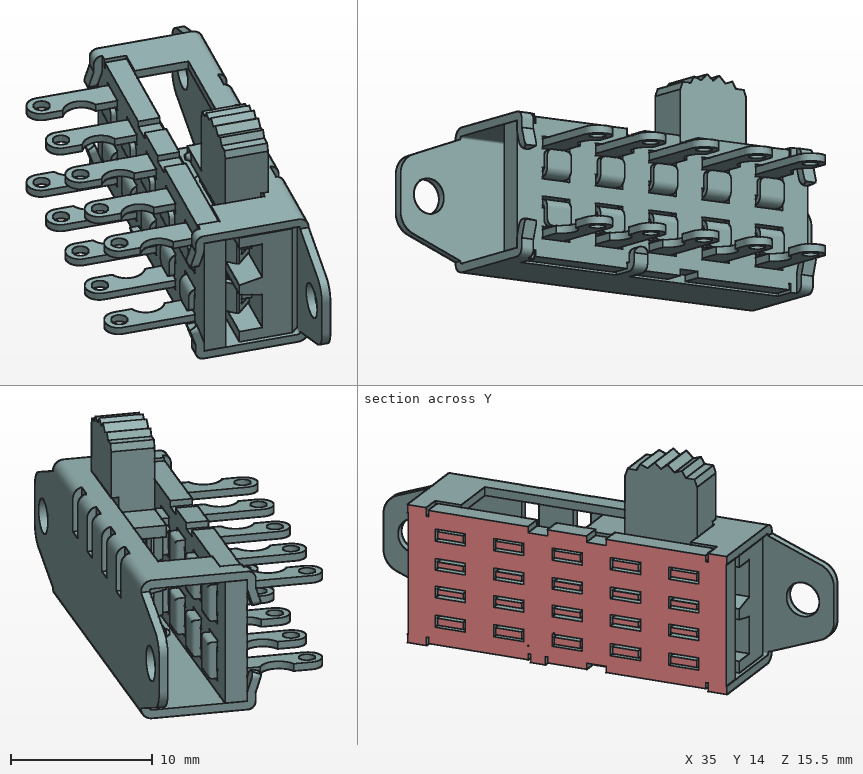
import cadquery as cq
import math


frame_length = 24.8
frame_height = 10.42
sheet = 0.64
bend_radius = 0.8
frame_depth = 7.73
half_length = frame_length / 2
half_height = frame_height / 2
inner_half_height = half_height - sheet

ear_span = 34.98
ear_root_half_height = 4.37
ear_corner_half_height = 2.45
ear_corner_radius = 1.6
mount_hole_diameter = 2.54
mount_hole_x = 15.08

window_half_length = 8.9
window_back_y = -2.15
base_notch_half_length = 10.92
plate_slot_inner_x = 2.05
plate_slot_outer_x = 6.08
plate_slot_width = 1.35
plate_slot_floor_z = 1.9

claw_width = 1.0
claw_thickness = 0.62
claw_bend_radius = 0.6
claw_flare_z = 3.87
claw_tip_z = 2.49
claw_flare = 0.45
claw_rounding = 0.45
short_claw_width = 1.15
short_claw_tip_z = 3.5

base_half_length = half_length - 0.03
base_back_y = -6.12
rib_half_length = 10.77
rib_half_height = 5.03
rib_gap_center = 2.27
rib_gap_width = 1.49

terminal_pitch = 4.53
terminal_columns = 5
terminal_width = 2.04
terminal_tip_y = -14.03
terminal_bottom_z = 2.98
terminal_top_z = 3.54
lug_hole_diameter = 1.17
lug_hole_y = -12.95
lug_notch_radius = 1.33
lug_notch_depth = 0.78
lug_notch_y = -10.5
pad_back_y = -5.5
pad_round = 0.24
tongue_thickness = 0.42
tongue_bend_radius = 0.65
tongue_bottom_z = 0.8
tongue_top_z = 2.75
tongue_corner_radius = 0.45
slot_width = 2.3
lug_slot_z = (2.8, 3.68)
tongue_slot_z = (0.62, 1.46)

slider_center_x = 6.12
slider_length = 12.16
slider_center_z = -0.05
slider_half_height = 4.42
slider_front_y = -5.07
slider_recess_y = -3.38
slider_chamfer = 0.52
slider_leg_inner = 3.54
divider_root = 0.75
divider_tip = 0.4
detent_x = 0.65
detent_z = 3.92
detent_radius = 0.35
detent_height = 0.35

knob_half_length = 2.8
knob_back_y = -1.9
knob_bottom_z = 5.52
knob_side_top_z = 9.0
stem_back_y = -2.44
knob_steps = [
    (2.6, 9.55),
    (1.93, 9.55),
    (1.62, 10.04),
    (1.05, 9.83),
    (0.51, 10.33),
]
knob_middle_z = 9.93

contact_row_z = 2.1
contact_height = 2.43
contact_thickness = 0.45
contact_half_length = 4.15
contact_elbow_y = (-4.65, -4.47)
contact_flat_half_length = 3.45
contact_root_half_length = 3.0
contact_hole_height = 1.35
contact_hole_y = (-4.2, -3.6)
tab_height = 0.95
tab_half_length = 3.6
tab_tip_y = -4.28
tab_chamfer = 0.2


def box(x_range, y_range, z_range):
    """Axis-aligned box between pairs of limits."""
    size = [high - low for low, high in (x_range, y_range, z_range)]
    corner = (x_range[0], y_range[0], z_range[0])
    return cq.Workplane("XY").box(*size, centered=False).translate(corner)


def yz_prism(points, x_range):
    """Prism of a Y-Z outline between two X limits."""
    prism = cq.Workplane("YZ").polyline(points).close().extrude(x_range[1] - x_range[0])
    return prism.translate((x_range[0], 0, 0))


def xz_prism(points, y_range):
    """Prism of an X-Z outline between two Y limits."""
    prism = cq.Workplane("XZ").polyline(points).close().extrude(y_range[1] - y_range[0])
    return prism.translate((0, y_range[1], 0))


def flip_z(body):
    return body.mirror("XY")


def make_channel():
    """C-shaped sheet channel, open at both ends and towards -Y."""
    outer = box((-half_length, half_length), (-frame_depth, 0), (-half_height, half_height))
    outer = outer.edges("|X and >Y").fillet(bend_radius)
    inside = box(
        (-half_length, half_length),
        (-frame_depth, -sheet),
        (-inner_half_height, inner_half_height),
    )
    return outer.cut(inside.edges("|X and >Y").fillet(bend_radius - sheet))


def make_ears():
    """Tapered mounting ears on both ends of the back plate."""
    half_span = ear_span / 2
    right_side = [
        (half_length, ear_root_half_height),
        (half_span, ear_corner_half_height),
        (half_span, -ear_corner_half_height),
        (half_length, -ear_root_half_height),
    ]
    left_side = [(-x, -z) for x, z in right_side]
    ears = xz_prism(right_side + left_side, (-sheet, 0))
    ears = ears.edges("|Y and (<X or >X)").fillet(ear_corner_radius)
    holes = (
        cq.Workplane("XZ")
        .pushPoints([(-mount_hole_x, 0), (mount_hole_x, 0)])
        .circle(mount_hole_diameter / 2)
        .extrude(sheet)
    )
    return ears.cut(holes)


def make_claw(center_x, width, tip_z):
    """Claw bent over the top edge of the base, flared at its rounded tip."""
    outer_y = -frame_depth - claw_thickness
    flare_angle = math.atan2(claw_flare, claw_flare_z - claw_tip_z)
    tip_dy = claw_thickness * math.cos(flare_angle)
    tip_dz = claw_thickness * math.sin(flare_angle)
    x_range = (center_x - width / 2, center_x + width / 2)
    claw = yz_prism(
        [
            (-frame_depth, half_height),
            (-frame_depth, claw_flare_z),
            (-frame_depth - claw_flare, claw_tip_z),
            (-frame_depth - claw_flare - tip_dy, claw_tip_z + tip_dz),
            (outer_y, claw_flare_z + claw_thickness * math.tan(flare_angle / 2)),
            (outer_y, half_height),
        ],
        x_range,
    )
    claw = claw.edges("|X and >Z").edges("<Y").fillet(claw_bend_radius)
    outline = box(x_range, (-2 * frame_depth, 0), (tip_z, half_height))
    outline = outline.edges("|Y and <Z").fillet(claw_rounding * width)
    return claw.intersect(outline)


def make_frame():
    frame = make_channel().union(make_ears())
    window = box(
        (-window_half_length, window_half_length),
        (-frame_depth, window_back_y),
        (inner_half_height, half_height),
    )
    base_notch = box(
        (-base_notch_half_length, base_notch_half_length),
        (-frame_depth, base_back_y),
        (-half_height, half_height),
    )
    frame = frame.cut(window).cut(base_notch)
    for slot_x in (-plate_slot_outer_x, -plate_slot_inner_x, plate_slot_inner_x, plate_slot_outer_x):
        slot = box(
            (slot_x - plate_slot_width / 2, slot_x + plate_slot_width / 2),
            (-sheet, 0),
            (plate_slot_floor_z, half_height),
        )
        frame = frame.cut(slot)
    claw_x = half_length - claw_width / 2
    for center_x in (-claw_x, claw_x):
        claw = make_claw(center_x, claw_width, claw_tip_z)
        frame = frame.union(claw).union(flip_z(claw))
    short_claw = make_claw(-rib_gap_center, short_claw_width, short_claw_tip_z)
    short_claw_root = box(
        (-rib_gap_center - short_claw_width / 2, -rib_gap_center + short_claw_width / 2),
        (-frame_depth, base_back_y),
        (inner_half_height, half_height),
    )
    return frame.union(flip_z(short_claw.union(short_claw_root)))


def column_positions():
    middle = (terminal_columns - 1) / 2
    return [(column - middle) * terminal_pitch for column in range(terminal_columns)]


def make_base():
    """Insulating plate with interrupted ribs filling the frame notches, and terminal slots."""
    depth = (-frame_depth, base_back_y)
    base = box((-base_half_length, base_half_length), depth, (-inner_half_height, inner_half_height))
    ribs = box((-rib_half_length, rib_half_length), depth, (-rib_half_height, rib_half_height))
    for center_x in (-rib_gap_center, rib_gap_center):
        gap_x = (center_x - rib_gap_width / 2, center_x + rib_gap_width / 2)
        for gap_z in ((inner_half_height, half_height), (-half_height, -inner_half_height)):
            ribs = ribs.cut(box(gap_x, depth, gap_z))
    base = base.union(ribs)
    for center_x in column_positions():
        slot_x = (center_x - slot_width / 2, center_x + slot_width / 2)
        for slot_z in (lug_slot_z, tongue_slot_z):
            slot = box(slot_x, depth, slot_z)
            base = base.cut(slot).cut(flip_z(slot))
    return base


def make_terminal():
    """Upper-row terminal at X = 0: solder lug, contact pad and clinched tongue."""
    half_width = terminal_width / 2
    width = (-half_width, half_width)
    tip_center_y = terminal_tip_y + half_width
    lug = (
        cq.Workplane("XY", origin=(0, 0, terminal_bottom_z))
        .moveTo(-half_width, base_back_y)
        .lineTo(-half_width, tip_center_y)
        .threePointArc((0, terminal_tip_y), (half_width, tip_center_y))
        .lineTo(half_width, base_back_y)
        .close()
        .extrude(terminal_top_z - terminal_bottom_z)
    )
    lug_hole = cq.Workplane("XY").center(0, lug_hole_y).circle(lug_hole_diameter / 2)
    notch_x = half_width - lug_notch_depth + lug_notch_radius
    lug_notch = cq.Workplane("XY").center(notch_x, lug_notch_y).circle(lug_notch_radius)
    lug = lug.cut(lug_hole.extrude(half_height)).cut(lug_notch.extrude(half_height))

    pad = box(width, (base_back_y, pad_back_y), (tongue_bottom_z, terminal_top_z))
    pad = pad.faces(">Y").edges().fillet(pad_round)

    tongue_front_y = -frame_depth - tongue_thickness
    tongue = box(width, (tongue_front_y, base_back_y), (tongue_bottom_z, tongue_top_z))
    tongue = tongue.edges("|X and <Y and <Z").fillet(tongue_bend_radius)
    tongue_inside = box(
        width,
        (-frame_depth, base_back_y),
        (tongue_bottom_z + tongue_thickness, tongue_top_z),
    )
    inside_radius = tongue_bend_radius - tongue_thickness
    tongue_inside = tongue_inside.edges("|X and <Y and <Z").fillet(inside_radius)
    tongue = tongue.cut(tongue_inside).edges("|Y and >Z").fillet(tongue_corner_radius)
    return lug.union(pad).union(tongue)


def make_terminals():
    """Both rows; the lower row is the upper row turned half a turn about Y."""
    upper = make_terminal()
    lower = upper.rotate((0, 0, 0), (0, 1, 0), 180)
    terminals = cq.Workplane("XY")
    for center_x in column_positions():
        for terminal in (upper, lower):
            terminals = terminals.union(terminal.translate((center_x, 0, 0)))
    return terminals


def make_knob():
    """Serrated finger knob on a slightly thinner stem."""
    right_side = [(knob_half_length, knob_bottom_z), (knob_half_length, knob_side_top_z)] + knob_steps
    left_side = [(-x, z) for x, z in reversed(right_side)]
    knob = xz_prism(right_side + [(0, knob_middle_z)] + left_side, (slider_front_y, knob_back_y))
    stem = box(
        (-knob_half_length, knob_half_length),
        (slider_front_y, stem_back_y),
        (slider_center_z + slider_half_height, knob_bottom_z),
    )
    return knob, stem


def make_slider_body():
    """E-shaped carrier centred on X = 0 and Z = 0, open towards the terminals."""
    half = slider_length / 2
    body = box((-half, half), (slider_front_y, -sheet), (-slider_half_height, slider_half_height))
    body = body.edges("|Z and >Y").chamfer(slider_chamfer)
    channel = yz_prism(
        [
            (slider_recess_y, slider_leg_inner),
            (slider_front_y, slider_leg_inner),
            (slider_front_y, divider_tip),
            (slider_recess_y, divider_root),
        ],
        (-half, half),
    )
    return body.cut(channel).cut(flip_z(channel))


def make_detent():
    """Small blunt cone on the front of the upper slider leg."""
    cone = cq.Solid.makeCone(
        detent_radius,
        detent_radius / 2,
        detent_height,
        cq.Vector(detent_x - slider_center_x, slider_front_y, detent_z),
        cq.Vector(0, -1, 0),
    )
    return cq.Workplane(obj=cone)


def make_moving_contact():
    """Bent spring strip bridging two pads, carried by a tab of the slider."""
    front_elbow_y, back_elbow_y = contact_elbow_y
    right_side = [
        (contact_flat_half_length, pad_back_y),
        (contact_half_length, front_elbow_y),
        (contact_half_length, back_elbow_y),
        (contact_root_half_length, slider_recess_y),
    ]
    left_side = [(-x, y) for x, y in reversed(right_side)]
    loop = cq.Workplane("XY").polyline(right_side + left_side).close().extrude(contact_height)
    strip = loop.faces("|Z").shell(-contact_thickness).translate((0, 0, -contact_height / 2))
    end_holes = box(
        (-contact_half_length, contact_half_length),
        contact_hole_y,
        (-contact_hole_height / 2, contact_hole_height / 2),
    )
    tab = box(
        (-tab_half_length, tab_half_length),
        (tab_tip_y, slider_recess_y),
        (-tab_height / 2, tab_height / 2),
    )
    tab = tab.edges("|X and <Y").chamfer(tab_chamfer)
    return strip.cut(end_holes).union(tab).translate((0, 0, contact_row_z))


def make_slider():
    knob, stem = make_knob()
    body = make_slider_body()
    for detail in (make_detent(), make_moving_contact()):
        body = body.union(detail).union(flip_z(detail))
    body = body.translate((0, 0, slider_center_z))
    return body.union(stem).union(knob).translate((slider_center_x, 0, 0))


result = make_frame().union(make_base()).union(make_terminals()).union(make_slider())